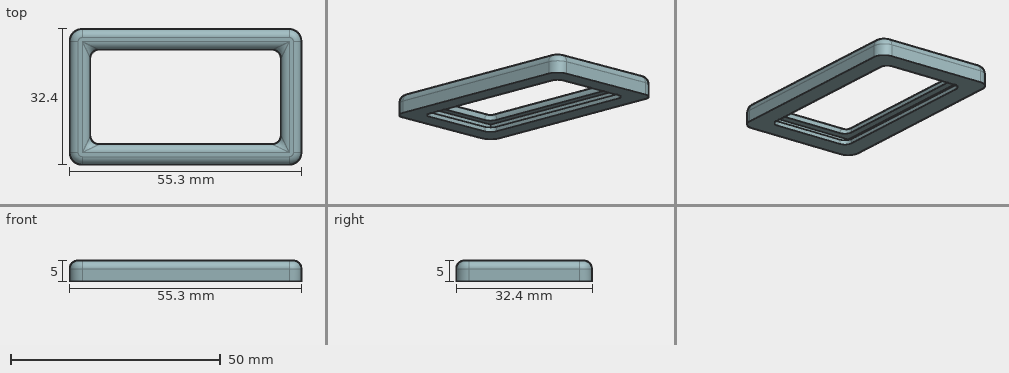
import cadquery as cq

length = 55.3
width = 32.4
height = 5.0
rim_width = 5.0
outer_corner_radius = 3.0
edge_radius = 2.0
opening_corner_radius = 2.0

lip_height = 1.1
groove_top = 2.8
groove_depth = 2.0

opening_length = length - 2 * rim_width
opening_width = width - 2 * rim_width


def make_body():
    """Outer block with rounded corners and a rounded top edge."""
    block = cq.Workplane("XY").box(length, width, height, centered=(True, True, False))
    return block.edges("|Z").fillet(outer_corner_radius).faces(">Z").edges().fillet(edge_radius)


def cut_opening(body):
    """Through opening whose rounded top edge meets in mitres, softened at the corners."""
    opening = cq.Workplane("XY").rect(opening_length, opening_width).extrude(height)
    frame = body.cut(opening)
    inner_top_edges = cq.selectors.BoxSelector(
        (-opening_length / 2 - 0.05, -opening_width / 2 - 0.05, height - 0.05),
        (opening_length / 2 + 0.05, opening_width / 2 + 0.05, height + 0.05),
    )
    frame = frame.edges(inner_top_edges).fillet(edge_radius)
    inner_upright_edges = cq.selectors.BoxSelector(
        (-opening_length / 2 - 0.05, -opening_width / 2 - 0.05, 0),
        (opening_length / 2 + 0.05, opening_width / 2 + 0.05, height),
    )
    return frame.edges("|Z").edges(inner_upright_edges).fillet(opening_corner_radius)


def cut_groove(frame):
    """Rectangular groove around the inside of the opening."""
    groove = (
        cq.Workplane("XY")
        .workplane(offset=lip_height)
        .rect(opening_length + 2 * groove_depth, opening_width + 2 * groove_depth)
        .extrude(groove_top - lip_height)
    )
    return frame.cut(groove)


result = cut_groove(cut_opening(make_body()))